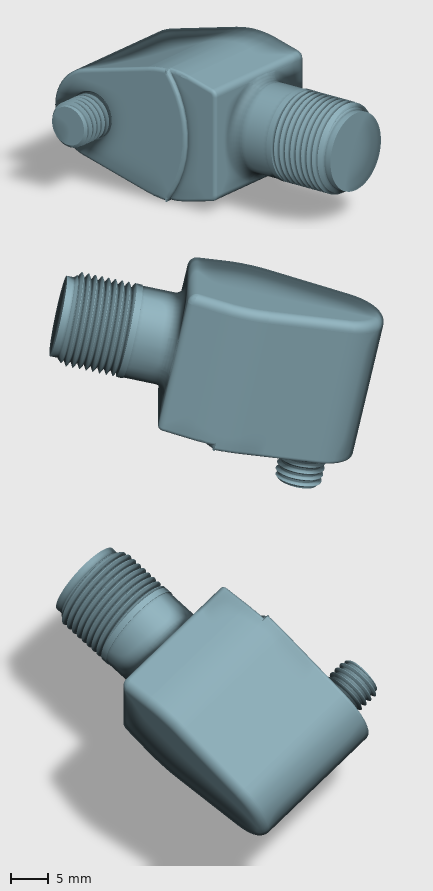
import cadquery as cq
import math


nose_radius = 6.35
side_angle = math.radians(14.4)
hump_radius = 12.6
hump_x = 12.45
housing_end_x = 20.26
housing_depth = 20.32
corner_radius = 1.02
back_fillet = 1.27
front_fillet = 0.5

nose_tangent_x = -nose_radius * math.sin(side_angle)
nose_tangent_z = nose_radius * math.cos(side_angle)
hump_half_width = hump_radius * math.sin(side_angle)
hump_start_x = hump_x - hump_half_width
hump_end_x = hump_x + hump_half_width
hump_edge_z = nose_tangent_z + (hump_start_x - nose_tangent_x) * math.tan(side_angle)
hump_top_z = hump_edge_z + hump_radius * (1 - math.cos(side_angle))
end_half_height = hump_edge_z - (housing_end_x - hump_end_x) * math.tan(side_angle)

step_depth = 0.635
step_arc_radius = 14.9
step_apex_x = 15.75
step_centre_x = step_apex_x - step_arc_radius
tip_half_height = 9.44
tip_half_width = 0.2

connector_y = 10.75
neck_diameter = 12.45
neck_fillet = 1.27
collar_diameter = 12.7
collar_start_x = 25.91
collar_length = 0.84
connector_root_diameter = 11.25
connector_first_groove = 26.98
spigot_diameter = 10.92
spigot_start_x = 34.97
connector_thread_chamfer = (collar_diameter - spigot_diameter) / 2
connector_end_x = 35.99

stud_diameter = 6.35
stud_root_diameter = 5.36
stud_projection = 5.08
stud_embedment = 5.08
stud_end_chamfer = (stud_diameter - stud_root_diameter) / 2
stud_first_groove = -0.13
hole_mouth_diameter = 6.76
hole_mouth_depth = (hole_mouth_diameter - stud_diameter) / 2

thread_pitch = 25.4 / 28
flank_angle = math.radians(30)
groove_width = 0.95 * thread_pitch
groove_overrun = 0.02
end_allowance = 0.3
trim_margin = 1.0
blank_seam_angle = 40
trim_seam_angle = 60

edge_margin = 0.01


def housing_outline():
    """Tapered outline: a round nose, straight sides, two shallow humps and a flat end."""
    return (
        cq.Workplane("XZ")
        .moveTo(nose_tangent_x, -nose_tangent_z)
        .threePointArc((-nose_radius, 0), (nose_tangent_x, nose_tangent_z))
        .lineTo(hump_start_x, hump_edge_z)
        .threePointArc((hump_x, hump_top_z), (hump_end_x, hump_edge_z))
        .lineTo(housing_end_x, end_half_height)
        .lineTo(housing_end_x, -end_half_height)
        .lineTo(hump_end_x, -hump_edge_z)
        .threePointArc((hump_x, -hump_top_z), (hump_start_x, -hump_edge_z))
        .close()
    )


def along_connector(solid):
    """Turns a shape built along +Z so that it lies along the connector axis."""
    return solid.rotate((0, 0, 0), (0, 1, 0), 90).translate((0, connector_y, 0))


def along_stud(solid):
    """Turns a shape built along +Z so that it points out of the mounting face, along -Y."""
    return solid.rotate((0, 0, 0), (1, 0, 0), 90)


def cylinder(diameter, start, end):
    """Round bar along Z between two heights."""
    return cq.Workplane("XY").workplane(offset=start).circle(diameter / 2).extrude(end - start)


def thread_groove(root_diameter, crest_diameter, start, end, first_groove):
    """Right-hand helical V groove around Z, running past both ends of the thread."""
    root = root_diameter / 2
    mouth = crest_diameter / 2 + groove_overrun
    half_mouth = groove_width / 2 + groove_overrun * math.tan(flank_angle)
    half_floor = half_mouth - (mouth - root) * math.tan(flank_angle)
    lead_in = first_groove - thread_pitch
    helix_length = end - start + 2 * thread_pitch
    helix = cq.Wire.makeHelix(thread_pitch, helix_length, mouth, center=cq.Vector(0, 0, lead_in))
    return (
        cq.Workplane("XZ")
        .moveTo(mouth, lead_in - half_mouth)
        .lineTo(root, lead_in - half_floor)
        .lineTo(root, lead_in + half_floor)
        .lineTo(mouth, lead_in + half_mouth)
        .close()
        .sweep(cq.Workplane(helix), isFrenet=True)
    )


def threaded_rod(root_diameter, crest_diameter, start, end, end_chamfer, first_groove):
    """Rod cut with a helical thread, square at its start and chamfered at its end."""
    blank = cylinder(crest_diameter, start - end_allowance, end + end_allowance)
    blank = blank.rotate((0, 0, 0), (0, 0, 1), blank_seam_angle)
    rod = blank.cut(thread_groove(root_diameter, crest_diameter, start, end, first_groove))

    trim_diameter = crest_diameter + 2 * trim_margin
    trim = cylinder(trim_diameter, start, end).faces(">Z").chamfer(end_chamfer + trim_margin)
    return rod.intersect(trim.rotate((0, 0, 0), (0, 0, 1), trim_seam_angle))


def round_edges(block):
    """Rounds the end corners, the back rim, the rim of the lower step and the rim of the pad."""
    block = block.faces(">X").edges("|Y").fillet(corner_radius)
    block = block.faces(">Y").edges().fillet(back_fillet)
    lower_step = cq.selectors.BoxSelector(
        (0, step_depth - edge_margin, -2 * nose_radius),
        (connector_end_x, step_depth + edge_margin, 2 * nose_radius),
    )
    pad_foot = cq.selectors.BoxSelector(
        (step_centre_x, step_depth - edge_margin, -nose_radius / 4),
        (step_apex_x, step_depth + edge_margin, nose_radius / 4),
    )
    pad_corners = cq.selectors.ParallelDirSelector(cq.Vector(0, 1, 0))
    block = block.edges(lower_step - pad_foot - pad_corners).fillet(front_fillet)
    return block.faces("<Y").edges().fillet(front_fillet)


def make_pad_tips():
    """Small pointed ribs where the arc of the raised pad runs out through the sides."""
    base_z = hump_top_z - front_fillet
    tip_x = step_centre_x + math.sqrt(step_arc_radius**2 - hump_top_z**2)
    upper_tip = (
        cq.Workplane("XZ")
        .moveTo(tip_x - tip_half_width, base_z)
        .lineTo(tip_x, tip_half_height)
        .lineTo(tip_x + tip_half_width, base_z)
        .close()
        .extrude(-(step_depth + front_fillet))
    )
    return upper_tip.union(upper_tip.mirror("XY"))


def make_block():
    """Housing without the connector: rounded outline whose raised front pad ends in an arc."""
    block = housing_outline().extrude(-housing_depth)
    pad_side = cq.Workplane("XZ").center(step_centre_x, 0).circle(step_arc_radius).extrude(-step_depth)
    step_slab = cq.Workplane("XY").box(
        housing_end_x, step_depth, 4 * nose_radius, centered=(False, False, True)
    )
    return round_edges(block.cut(step_slab.cut(pad_side)))


def add_neck(block):
    """Connector neck, blended into the end face of the block."""
    neck = along_connector(cylinder(neck_diameter, housing_end_x - neck_fillet, collar_start_x))
    neck_foot = cq.selectors.BoxSelector(
        (housing_end_x - edge_margin, connector_y - edge_margin, -edge_margin),
        (housing_end_x + edge_margin, connector_y + edge_margin, edge_margin),
    )
    return block.union(neck).edges(neck_foot).fillet(neck_fillet)


def make_connector_end():
    """Collar, threaded length and plain spigot beyond the neck."""
    thread_start = collar_start_x + collar_length
    collar = cylinder(collar_diameter, collar_start_x, thread_start)
    thread = threaded_rod(
        connector_root_diameter, collar_diameter, thread_start, spigot_start_x,
        connector_thread_chamfer, connector_first_groove,
    )
    spigot = cylinder(spigot_diameter, spigot_start_x, connector_end_x)
    return along_connector(collar.union(thread).union(spigot))


def make_stud_hole():
    """Blind hole for the plain shank of the stud, with a countersunk mouth."""
    bore = cylinder(stud_diameter, -stud_embedment, 0)
    mouth = (
        cq.Workplane("XY")
        .circle(hole_mouth_diameter / 2)
        .workplane(offset=-hole_mouth_depth)
        .circle(stud_diameter / 2)
        .loft()
    )
    return along_stud(bore.union(mouth))


def make_housing():
    """Block, neck and connector as one body, with the hole for the stud."""
    block = make_block().union(make_pad_tips())
    return add_neck(block).union(make_connector_end()).cut(make_stud_hole())


def make_stud():
    """Threaded stud whose plain shank fills its hole up to the countersink."""
    shank = cylinder(stud_diameter, -stud_embedment, -hole_mouth_depth)
    thread = threaded_rod(
        stud_root_diameter, stud_diameter, -hole_mouth_depth, stud_projection,
        stud_end_chamfer, stud_first_groove,
    )
    return along_stud(shank.union(thread))


housing = make_housing()
stud = make_stud()

result = cq.Compound.makeCompound([housing.solids().val(), stud.solids().val()])